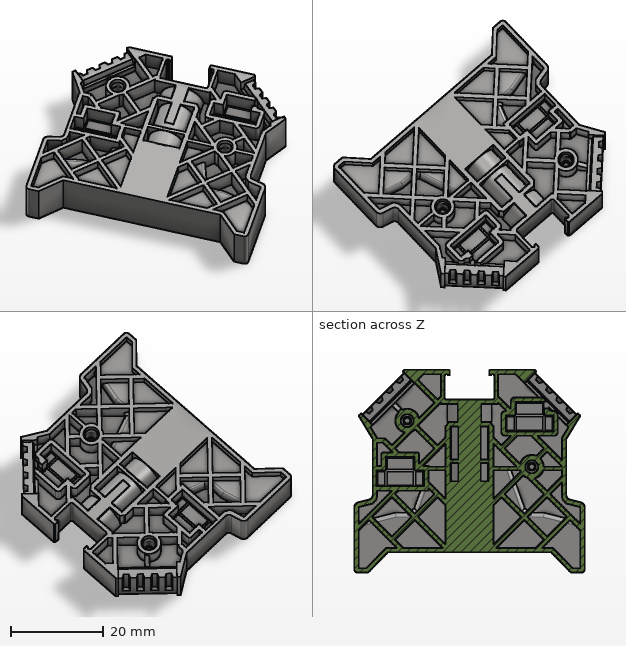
import cadquery as cq
import math


HEIGHT = 9.5
DEEP_FLOOR = 5.4
FOOT_FLOOR = 7.5
WALL = 1.0
OVERLAP = 2.0
NEAR = 0.1

HALF_WIDTH = 25.0
DEPTH = 44.0
SHOULDER_Y = 15.05
ARMPIT_Y = 16.05
WAIST = 21.0
BASE_Y = 4.4
WAIST_TOP_Y = 29.0
EAR_TIP = [(24.04, 34.0), (23.5, 34.55)]
LIP_TIP = [(14.5, 43.6), (14.1, DEPTH)]
FOOT_FLAT_U = 22.0
FOOT_SLOPE_U = 17.7
FOOT_RADIUS = 0.8
SHOULDER_RADIUS = 1.2
ARMPIT_RADIUS = 1.0
NOTCH_HALF = 5.37
NOTCH_Y = 37.55
NOTCH_RADIUS = 0.4
NOTCH_CELL_U = 6.2
LIP_U = 4.25
LIP_Y = DEPTH - WALL
LIP_CHAMFER = 0.25
BEAD_WIDTH = 0.45
BEAD_HEIGHT = 0.2

INNER_FOOT_SLOPE = [(18.05, BASE_Y + WALL), (22.35, WALL)]
INNER_ARMPIT = [(21.0, 14.95), (20.2, 15.8), (WAIST - WALL, 16.6)]
INNER_SHOULDER_Y = 14.2
INNER_WAIST_TOP_Y = 29.15
INNER_EAR = (21.4, 31.5)
INNER_SLOT_U = 21.25

RIB_PITCH = 7.0
RIB_WIDTH = 1.0
NODE_STEP = RIB_PITCH / math.sqrt(2)
NODE_U = 11.87
NODE_Y = 12.08

CROSS_RIB_Y = (22.15, 23.0)
CROSS_RIB_END_U = 10.5
SHORT_RIB_Y = (28.15, 29.15)
SHORT_RIB_END_U = 18.4

RIM_RADIUS = 0.92
FUNNEL_CORNER = (12.0, 13.95)
FUNNEL_STEEP_SLOPE = 0.36
FUNNEL_FLAT_U = (13.4, 16.1)
FUNNEL_FLAT_Y = 13.0
FUNNEL_OUTER_SLOPE = 0.25
LEFT_FUNNEL_END_Y = 18.3

CENTRE_HALF = 5.25
BAR_Y = 32.7
BAR_CORNER = [(CENTRE_HALF, 31.75), (5.0, 31.9), (4.5, BAR_Y)]
STEM_HALF = 1.45
TUBE_RADIUS = 4.0
SCREW_TUBE_RADIUS = 5.0
TUBE_COVER = 0.1
SCREW_TUBE_COVER = 0.25
WINDOW_HALF = 4.1
LOWER_WINDOW_Y = (19.85, 23.75)
UPPER_WINDOW_Y = (24.55, 31.65)
TAB_HALF = 1.0
TAB_END_Y = 26.0

SLOT_FACE = 57.45
BAR_BACK = 54.45
LEDGE_START = 54.0
LEDGE_END = 53.0
SLOT_LOW_U = 23.2
SLOT_HIGH_U = 14.2
SLOT_MID = 20.1
SLOT_LENGTH = 12.75
BAR_TOP = 8.5
LEDGE_TOP = 7.0
GROOVE_COUNT = 4
GROOVE_PITCH = 3.09
GROOVE_DEPTH = 0.88
GROOVE_MOUTH = 1.7
GROOVE_BOTTOM = 1.1
GROOVE_FLOOR = 1.75

BOSS_U = 13.5
LEFT_BOSS_Y = 32.95
RIGHT_BOSS_Y = 22.95
BOSS_RADIUS = 2.6
SOCKET_RIM_D = 3.4
SOCKET_D = 2.75
SOCKET_END_D = 1.8
SOCKET_TIP_D = 1.25
SOCKET_RIM_DEPTH = 0.5
SOCKET_CONE_Z = 7.5
SOCKET_FLOOR = 6.0
SOCKET_TIP_FLOOR = 5.7
WEB_WIDTH = 1.0
WEB_LOW = 7.25
WEB_HIGH = 8.95

LEFT_POCKET = (-15.03, 18.75)
RIGHT_POCKET = (13.02, 30.65)
POCKET_HALF = 5.15
POCKET_HEAD = 3.4
POCKET_NECK_HALF = 3.1
POCKET_HEIGHT = 6.35
POCKET_FLOOR = 5.9
LEFT_POCKET_RADIUS = 0.5
RIGHT_POCKET_RADIUS = 0.9
RELIEF_END_U = 18.0
RELIEF_Y = (35.6, 37.1)
RECESS_DEPTH = 0.1
RECESS_INSET = 0.25
RECESS_MID_HALF = 2.85
RECESS_SIDE_U = 3.35


def prism(points, bottom, top):
    """Vertical prism over a closed outline."""
    return cq.Workplane("XY").workplane(offset=bottom).polyline(points).close().extrude(top - bottom)


def block(x_range, y_range, bottom, top):
    """Axis-aligned block, its X ends in either order."""
    x0, x1 = x_range
    y0, y1 = y_range
    return prism([(x0, y0), (x1, y0), (x1, y1), (x0, y1)], bottom, top)


def mirrored(shape):
    return shape.mirror("YZ")


def both_sides(shape):
    return shape.union(mirrored(shape))


def body():
    """Full-height outline, built as the +X half and mirrored."""
    points = [
        (0, BASE_Y), (FOOT_SLOPE_U, BASE_Y), (FOOT_FLAT_U, 0), (HALF_WIDTH, 0),
        (HALF_WIDTH, SHOULDER_Y), (WAIST, ARMPIT_Y), (WAIST, WAIST_TOP_Y), *EAR_TIP,
        (SLOT_LOW_U, SLOT_FACE - SLOT_LOW_U), (SLOT_HIGH_U, SLOT_FACE - SLOT_HIGH_U), *LIP_TIP,
        (LIP_U + LIP_CHAMFER, DEPTH), (LIP_U, DEPTH - LIP_CHAMFER), (LIP_U, LIP_Y - BEAD_HEIGHT),
        (LIP_U + BEAD_WIDTH, LIP_Y - BEAD_HEIGHT), (LIP_U + BEAD_WIDTH, LIP_Y),
        (NOTCH_HALF - LIP_CHAMFER, LIP_Y), (NOTCH_HALF, LIP_Y - LIP_CHAMFER),
        (NOTCH_HALF, NOTCH_Y), (0, NOTCH_Y),
    ]
    half = prism(points, 0, HEIGHT)

    def round_corner(shape, x, y, radius):
        low_corner = (x - NEAR, y - NEAR, 0)
        high_corner = (x + NEAR, y + NEAR, HEIGHT)
        pick = cq.selectors.BoxSelector(low_corner, high_corner)
        return shape.edges(pick).edges("|Z").fillet(radius)

    half = round_corner(half, HALF_WIDTH, 0, FOOT_RADIUS)
    half = round_corner(half, HALF_WIDTH, SHOULDER_Y, SHOULDER_RADIUS)
    half = round_corner(half, WAIST, ARMPIT_Y, ARMPIT_RADIUS)
    half = round_corner(half, NOTCH_HALF, NOTCH_Y, NOTCH_RADIUS)
    return both_sides(half)


def cavity():
    """Space inside the outer wall, before ribs and fittings are put back."""
    inner_foot = HALF_WIDTH - WALL
    points = [
        (0, BASE_Y + WALL), *INNER_FOOT_SLOPE, (inner_foot, WALL), (inner_foot, INNER_SHOULDER_Y),
        *INNER_ARMPIT, (WAIST - WALL, INNER_WAIST_TOP_Y), INNER_EAR,
        (INNER_SLOT_U, LEDGE_END - INNER_SLOT_U), (LEDGE_END - LIP_Y, LIP_Y), (NOTCH_CELL_U, LIP_Y),
        (NOTCH_CELL_U, NOTCH_Y - WALL), (0, NOTCH_Y - WALL),
    ]
    return both_sides(prism(points, DEEP_FLOOR, HEIGHT))


def node(column, row):
    """Lattice crossing on the +X side."""
    return NODE_U + column * NODE_STEP, NODE_Y + row * NODE_STEP


def diagonal_rib(start, end):
    """Rib between two lattice places on the +X side."""
    x0, y0 = node(*start)
    x1, y1 = node(*end)
    length = math.hypot(x1 - x0, y1 - y0)
    angle = math.degrees(math.atan2(y1 - y0, x1 - x0))
    rib = cq.Workplane("XY").box(length, RIB_WIDTH, HEIGHT - DEEP_FLOOR, centered=(False, True, False))
    return rib.rotate((0, 0, 0), (0, 0, 1), angle).translate((x0, y0, DEEP_FLOOR))


def diagonal_ribs():
    """Lattice ribs by the (column, row) of their ends; the two sides differ."""
    shared = [
        ((1, -1), (-1, 1)), ((3, -1), (-2, 4)), ((2, 0), (0, -2)), ((0, 4), (-1, 3)),
    ]
    left_only = [
        ((1, 3), (-2, 6)), ((1, 1), (-2, -2)), ((1.35, 3.35), (-2, 0)), ((1, 7), (-1, 5)),
    ]
    right_only = [
        ((2, 2), (-2, 6)), ((2, 2), (-2, -2)), ((1, 3), (-2, 0)),
    ]
    ribs = cq.Workplane("XY")
    for start, end in shared + right_only:
        ribs = ribs.add(diagonal_rib(start, end))
    for start, end in shared + left_only:
        ribs = ribs.add(mirrored(diagonal_rib(start, end)))
    return ribs.combine()


def cross_ribs():
    low = block((-CROSS_RIB_END_U, WAIST), CROSS_RIB_Y, DEEP_FLOOR, HEIGHT)
    short = block((-WAIST, -SHORT_RIB_END_U), SHORT_RIB_Y, DEEP_FLOOR, HEIGHT)
    return low.union(short)


def centre_block():
    """Solid middle, narrowing to a stem that reaches the notch wall."""
    points = [
        (0, BASE_Y), (CENTRE_HALF, BASE_Y), *BAR_CORNER,
        (STEM_HALF, BAR_Y), (STEM_HALF, NOTCH_Y), (0, NOTCH_Y),
    ]
    return both_sides(prism(points, DEEP_FLOOR, HEIGHT))


def tube(radius, cover, y_range):
    """Round hump along Y, cut off level with the cell floors."""
    y0, y1 = y_range
    axis_z = HEIGHT - cover - radius
    hump = cq.Workplane("XZ", origin=(0, y0, axis_z)).circle(radius).extrude(y0 - y1)
    return hump.intersect(block((-radius, radius), y_range, DEEP_FLOOR, HEIGHT))


def windows():
    """Openings that show the lower tube, with a tab left in the upper one."""
    x_range = (-WINDOW_HALF, WINDOW_HALF)
    lower = block(x_range, LOWER_WINDOW_Y, DEEP_FLOOR, HEIGHT)
    upper = block(x_range, UPPER_WINDOW_Y, DEEP_FLOOR, HEIGHT)
    tab = block((-TAB_HALF, TAB_HALF), (TAB_END_Y, UPPER_WINDOW_Y[1]), DEEP_FLOOR, HEIGHT)
    return lower.union(upper.cut(tab))


def foot_floor(funnel_end_y):
    """Raised +X floor by the foot, with a rounded drop into the wire funnel."""
    slab = block((0, HALF_WIDTH), (0, CROSS_RIB_Y[0]), DEEP_FLOOR, FOOT_FLOOR)
    far_u = HALF_WIDTH + OVERLAP
    corner_u, corner_y = FUNNEL_CORNER
    flat_start, flat_end = FUNNEL_FLAT_U
    start_u = corner_u - FUNNEL_STEEP_SLOPE * (funnel_end_y - corner_y)
    far_y = FUNNEL_FLAT_Y - FUNNEL_OUTER_SLOPE * (far_u - flat_end)
    funnel = [
        (start_u, funnel_end_y), FUNNEL_CORNER, (flat_start, FUNNEL_FLAT_Y), (flat_end, FUNNEL_FLAT_Y),
        (far_u, far_y), (far_u, funnel_end_y),
    ]
    floor = slab.cut(prism(funnel, DEEP_FLOOR, FOOT_FLOOR))
    low_corner = (start_u, far_y, FOOT_FLOOR - NEAR)
    high_corner = (HALF_WIDTH - NEAR, funnel_end_y - NEAR, FOOT_FLOOR + NEAR)
    rim_edges = cq.selectors.BoxSelector(low_corner, high_corner)
    return floor.edges(rim_edges).fillet(RIM_RADIUS)


def place_at_slot(shape):
    """Move a tool from slot axes (X along the edge, Y outwards) to the +X slot."""
    x = (SLOT_FACE - SLOT_MID) / 2
    y = (SLOT_FACE + SLOT_MID) / 2
    return shape.rotate((0, 0, 0), (0, 0, 1), -45).translate((x, y, 0))


def slot_distance(line):
    """Distance from the slot face to the line u + y = line, negative inwards."""
    return (line - SLOT_FACE) / math.sqrt(2)


def marker_slot():
    """Clearance over the toothed bar and its ledge, with the tooth grooves."""
    section = [
        (OVERLAP, BAR_TOP), (slot_distance(BAR_BACK), BAR_TOP), (slot_distance(LEDGE_START), LEDGE_TOP),
        (slot_distance(LEDGE_END), LEDGE_TOP), (slot_distance(LEDGE_END), HEIGHT), (OVERLAP, HEIGHT),
    ]
    slot = cq.Workplane("YZ", origin=(-SLOT_LENGTH / 2, 0, 0)).polyline(section).close().extrude(SLOT_LENGTH)
    for i in range(GROOVE_COUNT):
        x = (i - (GROOVE_COUNT - 1) / 2) * GROOVE_PITCH
        mouth = GROOVE_MOUTH / 2
        bottom = GROOVE_BOTTOM / 2
        groove = [(x - mouth, 0), (x - bottom, -GROOVE_DEPTH), (x + bottom, -GROOVE_DEPTH), (x + mouth, 0)]
        slot = slot.union(prism(groove, GROOVE_FLOOR, HEIGHT))
    return place_at_slot(slot)


def boss(x, y):
    post = cq.Workplane("XY").workplane(offset=DEEP_FLOOR).center(x, y).circle(BOSS_RADIUS)
    return post.extrude(HEIGHT - DEEP_FLOOR)


def socket(x, y):
    """Blind round socket with a flared rim and a conical end."""
    profile = [
        (0, SOCKET_TIP_FLOOR), (SOCKET_TIP_D / 2, SOCKET_TIP_FLOOR), (SOCKET_TIP_D / 2, SOCKET_FLOOR),
        (SOCKET_END_D / 2, SOCKET_FLOOR), (SOCKET_D / 2, SOCKET_CONE_Z),
        (SOCKET_D / 2, HEIGHT - SOCKET_RIM_DEPTH), (SOCKET_RIM_D / 2, HEIGHT), (0, HEIGHT),
    ]
    return cq.Workplane("XZ").polyline(profile).close().revolve(360, (0, 0), (0, 1)).translate((x, y, 0))


def boss_web():
    """Sloping web from the left slot ledge up to the left boss."""
    ledge = slot_distance(LEDGE_END)
    boss_edge = slot_distance(BOSS_U + LEFT_BOSS_Y) + BOSS_RADIUS - WEB_WIDTH / 2
    section = [(ledge, DEEP_FLOOR), (ledge, WEB_LOW), (boss_edge, WEB_HIGH), (boss_edge, DEEP_FLOOR)]
    web = cq.Workplane("YZ", origin=(-WEB_WIDTH / 2, 0, 0)).polyline(section).close().extrude(WEB_WIDTH)
    return mirrored(place_at_slot(web))


def tee(half, head, neck_half, height, margin):
    """Inverted-T outline grown outwards by a margin."""
    return [
        (-half - margin, -margin), (half + margin, -margin), (half + margin, head + margin),
        (neck_half + margin, head + margin), (neck_half + margin, height + margin),
        (-neck_half - margin, height + margin), (-neck_half - margin, head + margin),
        (-half - margin, head + margin),
    ]


def pocket_wall(corner, radius, rounded_edges):
    outline = tee(POCKET_HALF, POCKET_HEAD, POCKET_NECK_HALF, POCKET_HEIGHT, WALL)
    wall = prism(outline, DEEP_FLOOR, HEIGHT).edges(rounded_edges).fillet(radius)
    return wall.translate((*corner, 0))


def pocket(corner):
    """T-shaped pocket with shallow recesses in its floor."""
    tool = prism(tee(POCKET_HALF, POCKET_HEAD, POCKET_NECK_HALF, POCKET_HEIGHT, 0), POCKET_FLOOR, HEIGHT)
    low = POCKET_FLOOR - RECESS_DEPTH
    head_y = (RECESS_INSET, POCKET_HEAD - RECESS_INSET)
    neck_y = (POCKET_HEAD + RECESS_INSET, POCKET_HEIGHT - RECESS_INSET)
    side_x = (RECESS_SIDE_U, POCKET_HALF - RECESS_INSET)
    side = block(side_x, head_y, low, HEIGHT)
    tool = tool.union(both_sides(side))
    for y_range in (head_y, neck_y):
        tool = tool.union(block((-RECESS_MID_HALF, RECESS_MID_HALF), y_range, low, HEIGHT))
    return tool.translate((*corner, 0))


def right_pocket_relief():
    """Opening from the right pocket's neck corner down to the slot ledge."""
    return block((RIGHT_POCKET[0] + POCKET_NECK_HALF, RELIEF_END_U), RELIEF_Y, LEDGE_TOP, HEIGHT)


def behind_bar():
    """Everything on the cell side of the right toothed bar."""
    reach = 2 * HALF_WIDTH
    depth = slot_distance(LEDGE_START)
    return place_at_slot(block((-reach, reach), (depth - 2 * reach, depth), 0, HEIGHT))


hollow = cavity()
left_boss = (-BOSS_U, LEFT_BOSS_Y)
right_boss = (BOSS_U, RIGHT_BOSS_Y)

fittings = diagonal_ribs().union(cross_ribs()).union(centre_block())
fittings = fittings.union(foot_floor(CROSS_RIB_Y[0])).union(mirrored(foot_floor(LEFT_FUNNEL_END_Y)))
fittings = fittings.union(tube(SCREW_TUBE_RADIUS, SCREW_TUBE_COVER, (BAR_Y, NOTCH_Y)))
fittings = fittings.union(boss(*left_boss)).union(boss(*right_boss)).union(boss_web())
fittings = fittings.union(pocket_wall(LEFT_POCKET, LEFT_POCKET_RADIUS, "|Z and >Y"))

result = body().cut(hollow.cut(fittings))
result = result.cut(windows())
result = result.union(tube(TUBE_RADIUS, TUBE_COVER, (LOWER_WINDOW_Y[0], UPPER_WINDOW_Y[1])))
result = result.cut(both_sides(marker_slot()))
right_wall = pocket_wall(RIGHT_POCKET, RIGHT_POCKET_RADIUS, "|Z")
result = result.union(right_wall.intersect(behind_bar()))
result = result.cut(pocket(LEFT_POCKET)).cut(pocket(RIGHT_POCKET).intersect(behind_bar()))
result = result.cut(right_pocket_relief().intersect(behind_bar()))
result = result.cut(socket(*left_boss)).cut(socket(*right_boss))